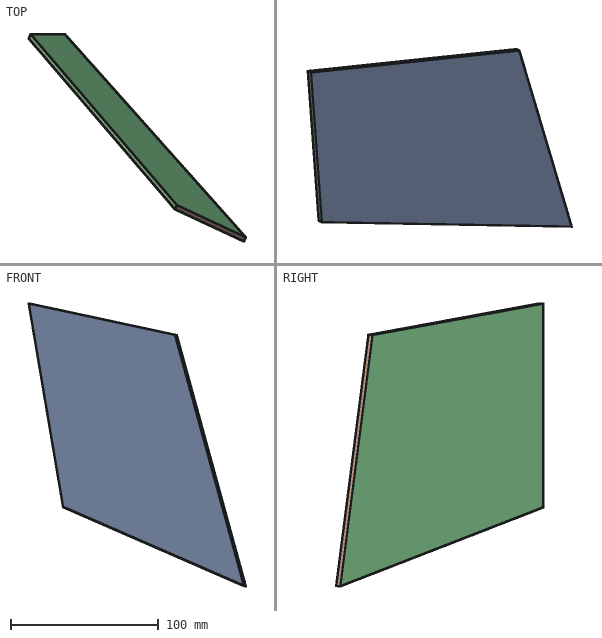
import cadquery as cq

size_x = 147.0
size_y = 140.2
size_z = 191.3

edge_run = cq.Vector(1.3, 2.9, -0.2)

upper_left = cq.Vector(0, size_y - edge_run.y, size_z)
upper_right = cq.Vector(98.9, 21.8, 170.0)
lower_right = cq.Vector(size_x - edge_run.x, 0, -edge_run.z)
lower_left_z = 53.5

normal = (upper_right - upper_left).cross(lower_right - upper_left)
left_edge_drop = upper_left.z - lower_left_z
lower_left_x = upper_left.x + left_edge_drop * normal.z / normal.x
lower_left = cq.Vector(lower_left_x, upper_left.y, lower_left_z)

front_outline = cq.Wire.makePolygon([upper_left, upper_right, lower_right, lower_left], close=True)
plate = cq.Solid.extrudeLinear(front_outline, [], edge_run)

result = cq.Workplane("XY").newObject([plate])